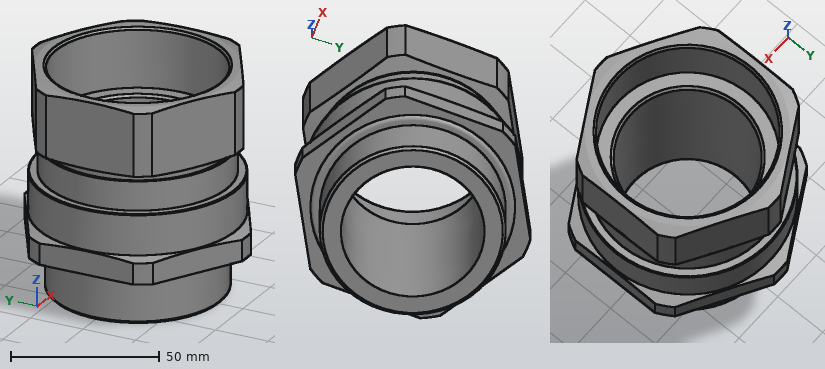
import cadquery as cq
import math

SEAL_BOTTOM = 17.6
FLANGE_BOTTOM = 19.1
FLANGE_TOP = 27.9
COLLAR_TOP = 43.0
SHOULDER_TOP = 53.8
NUT_HEX_BOTTOM = 56.4
BODY_TOP = 59.6
NUT_TOP = 81.75

SPIGOT_RADIUS = 31.4
SPIGOT_CHAMFER = 1.0
FLANGE_ACROSS_FLATS = 75.0
FLANGE_CORNER_RADIUS = 41.5
COLLAR_RADIUS = 37.0
COLLAR_CHAMFER = 0.3
SHOULDER_RADIUS = 33.9
BORE_BOTTOM_RADIUS = 24.2
BORE_TOP_RADIUS = 25.0
BORE_CHAMFER = 1.0

SEAL_RADIUS = 34.5
SEAL_FILLET = 1.4

NUT_ACROSS_FLATS = 70.05
NUT_CORNER_RADIUS = 38.8
NUT_TOP_FACE_RADIUS = 34.7
NUT_BOTTOM_FACE_RADIUS = 32.95
NUT_NECK_RADIUS = NUT_BOTTOM_FACE_RADIUS
NUT_BORE_RADIUS = 31.0
NUT_BORE_CHAMFER = 0.8

HEX_SIDES = 6
HALF_SECTOR_ANGLE = 180 / HEX_SIDES
CORNER_CHAMFER_ANGLE = 12
CORNER_SLOPE = math.tan(math.radians(CORNER_CHAMFER_ANGLE))


def cylinder(radius, bottom, top):
    return cq.Workplane("XY").workplane(offset=bottom).circle(radius).extrude(top - bottom)


def turned(profile):
    """Solid of revolution about Z from (radius, height) points."""
    return cq.Workplane("XZ").polyline(profile).close().revolve(360, (0, 0), (0, 1))


def hexagon(across_flats, bottom, top):
    """Hexagonal prism with corners on the Y axis and flats facing +X and -X."""
    across_corners = across_flats / math.cos(math.radians(HALF_SECTOR_ANGLE))
    prism = cq.Workplane("XY").workplane(offset=bottom).polygon(HEX_SIDES, across_corners).extrude(top - bottom)
    return prism.rotate((0, 0, 0), (0, 0, 1), HALF_SECTOR_ANGLE)


def make_body():
    flange_corner_drop = (FLANGE_CORNER_RADIUS - COLLAR_RADIUS) * CORNER_SLOPE
    flange_envelope = turned([
        (0, FLANGE_BOTTOM),
        (FLANGE_CORNER_RADIUS, FLANGE_BOTTOM),
        (FLANGE_CORNER_RADIUS, FLANGE_TOP - flange_corner_drop),
        (COLLAR_RADIUS, FLANGE_TOP),
        (0, FLANGE_TOP),
    ])
    flange = hexagon(FLANGE_ACROSS_FLATS, FLANGE_BOTTOM, FLANGE_TOP).intersect(flange_envelope)
    spigot = cylinder(SPIGOT_RADIUS, 0, FLANGE_BOTTOM).faces("<Z").chamfer(SPIGOT_CHAMFER)
    collar = cylinder(COLLAR_RADIUS, FLANGE_TOP, COLLAR_TOP).faces(">Z").chamfer(COLLAR_CHAMFER)
    shoulder = cylinder(SHOULDER_RADIUS, COLLAR_TOP, SHOULDER_TOP)
    tenon = cylinder(NUT_BORE_RADIUS, SHOULDER_TOP, BODY_TOP)
    body = spigot.union(flange).union(collar).union(shoulder).union(tenon)

    bore = turned([
        (0, 0),
        (BORE_BOTTOM_RADIUS, 0),
        (BORE_TOP_RADIUS, BODY_TOP - BORE_CHAMFER),
        (BORE_TOP_RADIUS + BORE_CHAMFER, BODY_TOP),
        (0, BODY_TOP),
    ])
    return body.cut(bore)


def make_seal():
    ring = cylinder(SEAL_RADIUS, SEAL_BOTTOM, FLANGE_BOTTOM).faces("<Z").fillet(SEAL_FILLET)
    return ring.cut(cylinder(SPIGOT_RADIUS, SEAL_BOTTOM, FLANGE_BOTTOM))


def make_nut():
    top_corner_drop = (NUT_CORNER_RADIUS - NUT_TOP_FACE_RADIUS) * CORNER_SLOPE
    bottom_corner_rise = (NUT_CORNER_RADIUS - NUT_BOTTOM_FACE_RADIUS) * CORNER_SLOPE
    hex_envelope = turned([
        (0, NUT_HEX_BOTTOM),
        (NUT_BOTTOM_FACE_RADIUS, NUT_HEX_BOTTOM),
        (NUT_CORNER_RADIUS, NUT_HEX_BOTTOM + bottom_corner_rise),
        (NUT_CORNER_RADIUS, NUT_TOP - top_corner_drop),
        (NUT_TOP_FACE_RADIUS, NUT_TOP),
        (0, NUT_TOP),
    ])
    outside = hexagon(NUT_ACROSS_FLATS, NUT_HEX_BOTTOM, NUT_TOP).intersect(hex_envelope)
    neck = cylinder(NUT_NECK_RADIUS, SHOULDER_TOP, NUT_HEX_BOTTOM)
    bore = cylinder(NUT_BORE_RADIUS, SHOULDER_TOP, NUT_TOP)
    bore_mouth = turned([
        (0, NUT_TOP - NUT_BORE_CHAMFER),
        (NUT_BORE_RADIUS, NUT_TOP - NUT_BORE_CHAMFER),
        (NUT_BORE_RADIUS + NUT_BORE_CHAMFER, NUT_TOP),
        (0, NUT_TOP),
    ])
    return outside.union(neck).cut(bore).cut(bore_mouth)


body = make_body()
seal = make_seal()
nut = make_nut()

result = cq.Compound.makeCompound([body.val(), seal.val(), nut.val()])